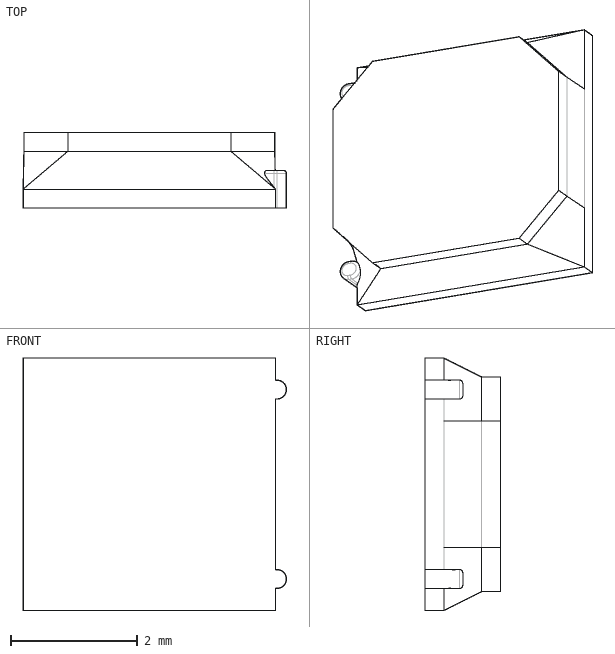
import cadquery as cq

overall_length = 4.17
plate_side = 4.0
plate_thickness = 0.3
half_plate = plate_side / 2

block_inset = 0.013
block_height = 3.4
corner_cut = 0.695
neck_depth = 0.6
block_depth = 0.3
half_block_width = half_plate - block_inset
half_block_height = block_height / 2
half_flat_width = half_block_width - corner_cut
half_flat_height = half_block_height - corner_cut

pin_length = 0.35
pin_width = 0.3
pin_depth = 0.6
pin_edge_radius = 0.05
pin_spacing = 3.0


def section_plane(depth):
    """XZ plane centred on the plate, with its normal along +Y.

    Its local axes are X and -Z, so outlines symmetric about Z keep their shape.
    """
    return cq.Plane(origin=(half_plate, depth, 0), xDir=(1, 0, 0), normal=(0, 1, 0))


def eight_point_outline(end_x, end_z, side_x, side_z):
    """Corner points of an outline with two ends along X and two sides along Z."""
    return [
        (-end_x, -end_z),
        (end_x, -end_z),
        (side_x, -side_z),
        (side_x, side_z),
        (end_x, end_z),
        (-end_x, end_z),
        (-side_x, side_z),
        (-side_x, -side_z),
    ]


def make_plate():
    return cq.Workplane(section_plane(0)).rect(plate_side, plate_side).extrude(plate_thickness)


def make_neck():
    plate_outline = eight_point_outline(half_plate, half_plate, half_plate, half_flat_height)
    return (
        cq.Workplane(section_plane(plate_thickness))
        .polyline(plate_outline)
        .close()
        .workplane(offset=neck_depth)
        .polyline(block_outline)
        .close()
        .loft(ruled=True)
    )


def make_block():
    block_start = plate_thickness + neck_depth
    return cq.Workplane(section_plane(block_start)).polyline(block_outline).close().extrude(block_depth)


def make_pins():
    pin_x = overall_length - pin_length / 2 - half_plate
    return (
        cq.Workplane(section_plane(0))
        .pushPoints([(pin_x, -pin_spacing / 2), (pin_x, pin_spacing / 2)])
        .slot2D(pin_length, pin_width)
        .extrude(pin_depth)
        .faces(">Y")
        .edges()
        .fillet(pin_edge_radius)
    )


block_outline = eight_point_outline(
    half_flat_width, half_block_height, half_block_width, half_flat_height
)

result = make_plate().union(make_neck()).union(make_block()).union(make_pins())